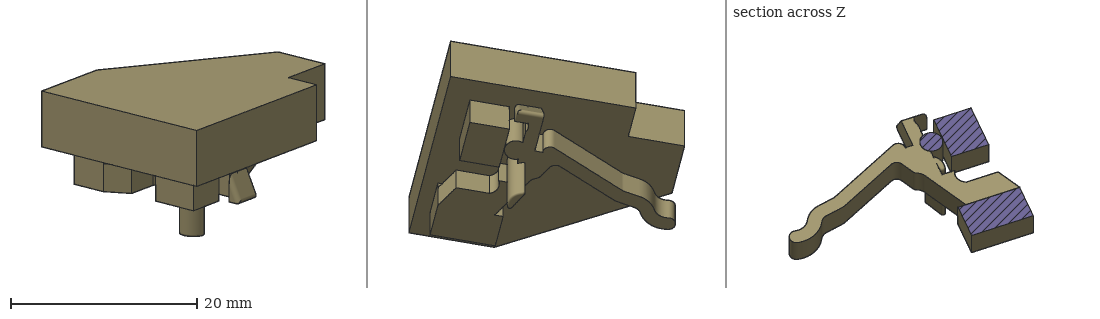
import cadquery as cq
import math

HOUSING_WIDTH = 21.5
HOUSING_DEPTH = 26.51
HOUSING_HEIGHT = 6.32
SLANT_WIDTH = 11.12
SLANT_START_Y = 9.38
NOTCH_WIDTH = 3.9
NOTCH_DEPTH = 6.18

LEVER_TOP = -0.85
FOOT_BOTTOM = -3.99
PIN_BOTTOM = -9.4

LEFT_FOOT_X = 3.17
LEFT_FOOT_RIGHT = 7.2
LEFT_FOOT_Y = 1.65
LEFT_FOOT_DEPTH = 7.15
RIGHT_FOOT_X = 13.6
RIGHT_FOOT_RIGHT = 18.85
RIGHT_FOOT_Y = 2.68
RIGHT_FOOT_DEPTH = 4.35

POST_X = (RIGHT_FOOT_X + RIGHT_FOOT_RIGHT) / 2
POST_Y = 8.3
POST_RADIUS = 1.25

LEVER_SLOPE = math.radians(27.5)
LEVER_CORNER_X = 9.95
STEP_X = 12.8
STEP_Y = 10.8
STEP_LENGTH = 0.73
STEP_ANGLE = math.radians(68)
STEP_INNER_RADIUS = 1.33
STEP_OUTER_RADIUS = 0.62
REAR_CORNER_X = 16.55
LEVER_REAR_RIGHT_Y = 10.3
LEFT_HOLLOW_Y = 6.72
LEFT_HOLLOW_RADIUS = 1.27
LEFT_HOLLOW_END_X = 11.82
LEFT_HOLLOW_END_Y = 7.32
POCKET_Y = 8.8
RIGHT_HOLLOW_RADIUS = 1.1

FINGER_WIDTH = 1.57
FINGER_TIP_X = 9.95
FINGER_TIP_Y = 26.32
FINGER_START_ANGLE = 98
FINGER_PATH = [
    (0, 3.8, 8),
    (0, 2.28, 62),
    (0, 1.92, -51),
    (1.87, 1.52, 15),
    (9.22, 0, 0),
]
FINGER_ROOT_X = 15.32
FINGER_ROOT_RADIUS = 0.8

NOSE_X = 19.98
NOSE_TOE_X = 21.53
NOSE_Y = 7.32
NOSE_FRONT_RADIUS = 0.55
NOSE_BOTTOM_RADIUS = 0.15
NOSE_TOE_RADIUS = 0.35

PIN_X = 13.07
PIN_Y = 9.75
PIN_RADIUS = 1.7
PIN_ARC_START = 231
PIN_END_RADIUS = 0.25
PIN_LEFT_RADIUS = 0.27
PIN_RIGHT_RADIUS = 0.15


def along(point, angle, length):
    """Point at the given distance and direction from another point."""
    return (point[0] + length * math.cos(angle), point[1] + length * math.sin(angle))


def slab(outline, bottom, top):
    """Extrude a closed XY outline between two levels."""
    return outline.extrude(top - bottom).translate((0, 0, bottom))


def make_foot(x_min, x_max, y_min, depth):
    """Foot reaching from the underside of the housing to the foot level."""
    outline = cq.Workplane().rect(x_max - x_min, depth, centered=False)
    return slab(outline, FOOT_BOTTOM, 0).translate((x_min, y_min, 0))


def round_upright(solid, point, radius):
    """Round the upright edge nearest to an XY point at mid height of the lever."""
    target = (point[0], point[1], (LEVER_TOP + FOOT_BOTTOM) / 2)
    edge = solid.edges("|Z").edges(cq.selectors.NearestToPointSelector(target))
    return edge.fillet(radius)


def make_housing():
    outline = cq.Workplane().polyline([
        (0, 0),
        (HOUSING_WIDTH, 0),
        (HOUSING_WIDTH, HOUSING_DEPTH - NOTCH_DEPTH),
        (HOUSING_WIDTH - NOTCH_WIDTH, HOUSING_DEPTH - NOTCH_DEPTH),
        (HOUSING_WIDTH - NOTCH_WIDTH, HOUSING_DEPTH),
        (SLANT_WIDTH, HOUSING_DEPTH),
        (0, SLANT_START_Y),
    ]).close()
    return slab(outline, 0, HOUSING_HEIGHT)


def make_post():
    outline = cq.Workplane().center(POST_X, POST_Y).circle(POST_RADIUS)
    return slab(outline, FOOT_BOTTOM, 0)


def make_finger():
    """Strip of constant width that follows a winding centre line from tip to root."""
    heading = math.radians(-FINGER_START_ANGLE)
    point = (FINGER_TIP_X, FINGER_TIP_Y)
    spine = cq.Workplane().moveTo(*point)
    for length, radius, turn_degrees in FINGER_PATH:
        if length:
            point = along(point, heading, length)
            spine = spine.lineTo(*point)
        if radius:
            turn = math.radians(turn_degrees)
            chord = 2 * radius * math.sin(abs(turn) / 2)
            middle = along(point, heading + turn / 4, 2 * radius * math.sin(abs(turn) / 4))
            point = along(point, heading + turn / 2, chord)
            spine = spine.threePointArc(middle, point)
            heading += turn
    outline = spine.wire().offset2D(FINGER_WIDTH / 2)
    return slab(outline, FOOT_BOTTOM, LEVER_TOP)


def make_lever():
    slope = math.tan(LEVER_SLOPE)
    step_start = (STEP_X, STEP_Y)
    step_end = along(step_start, STEP_ANGLE, STEP_LENGTH)
    rear_corner = (REAR_CORNER_X, step_end[1] + slope * (REAR_CORNER_X - step_end[0]))
    outline = (
        cq.Workplane()
        .moveTo(LEFT_FOOT_RIGHT, LEFT_FOOT_Y)
        .lineTo(LEVER_CORNER_X, LEFT_FOOT_Y + slope * (LEVER_CORNER_X - LEFT_FOOT_RIGHT))
        .lineTo(LEVER_CORNER_X, LEFT_HOLLOW_Y)
        .radiusArc((LEFT_HOLLOW_END_X, LEFT_HOLLOW_END_Y), LEFT_HOLLOW_RADIUS)
        .lineTo(LEFT_HOLLOW_END_X, POCKET_Y)
        .lineTo(RIGHT_FOOT_RIGHT, POCKET_Y)
        .radiusArc((NOSE_X, POCKET_Y), RIGHT_HOLLOW_RADIUS)
        .lineTo(NOSE_X, LEVER_REAR_RIGHT_Y)
        .lineTo(REAR_CORNER_X, LEVER_REAR_RIGHT_Y)
        .lineTo(*rear_corner)
        .lineTo(*step_end)
        .lineTo(*step_start)
        .lineTo(LEFT_FOOT_RIGHT, STEP_Y - slope * (STEP_X - LEFT_FOOT_RIGHT))
        .close()
    )
    lever = slab(outline, FOOT_BOTTOM, LEVER_TOP)
    lever = round_upright(lever, step_start, STEP_INNER_RADIUS)
    lever = round_upright(lever, step_end, STEP_OUTER_RADIUS)
    lever = lever.union(make_finger())
    return round_upright(lever, (FINGER_ROOT_X, rear_corner[1]), FINGER_ROOT_RADIUS)


def make_nose():
    """Latch nose: a wedge with a sloping outer face, rounded along its front and at its toe."""
    wedge = (
        cq.Workplane("XZ", origin=(0, LEVER_REAR_RIGHT_Y, 0))
        .moveTo(NOSE_X, FOOT_BOTTOM)
        .lineTo(NOSE_TOE_X, FOOT_BOTTOM)
        .lineTo(NOSE_X, LEVER_TOP)
        .close()
        .extrude(LEVER_REAR_RIGHT_Y - NOSE_Y)
    )
    round_front = wedge.faces("<Y").edges("not (|X or |Z)").fillet(NOSE_FRONT_RADIUS)
    round_front = round_front.faces("<Y").edges("|X").fillet(NOSE_BOTTOM_RADIUS)
    round_toe = wedge.edges("|Y and >X").fillet(NOSE_TOE_RADIUS)
    return round_front.intersect(round_toe)


def make_pin():
    front = (PIN_X, PIN_Y - PIN_RADIUS)
    left = along((PIN_X, PIN_Y), math.radians(PIN_ARC_START), PIN_RADIUS)
    right = (PIN_X + PIN_RADIUS, PIN_Y)
    outline = cq.Workplane().moveTo(*left).threePointArc(front, right).close()
    pin = slab(outline, PIN_BOTTOM, LEVER_TOP)
    pin = pin.edges("|Z and <X").fillet(PIN_LEFT_RADIUS)
    pin = pin.edges("|Z and >X").fillet(PIN_RIGHT_RADIUS)
    return pin.faces("<Z or >Z").edges().fillet(PIN_END_RADIUS)


result = (
    make_housing()
    .union(make_foot(LEFT_FOOT_X, LEFT_FOOT_RIGHT, LEFT_FOOT_Y, LEFT_FOOT_DEPTH))
    .union(make_foot(RIGHT_FOOT_X, RIGHT_FOOT_RIGHT, RIGHT_FOOT_Y, RIGHT_FOOT_DEPTH))
    .union(make_post())
    .union(make_lever())
    .union(make_nose())
    .union(make_pin())
)